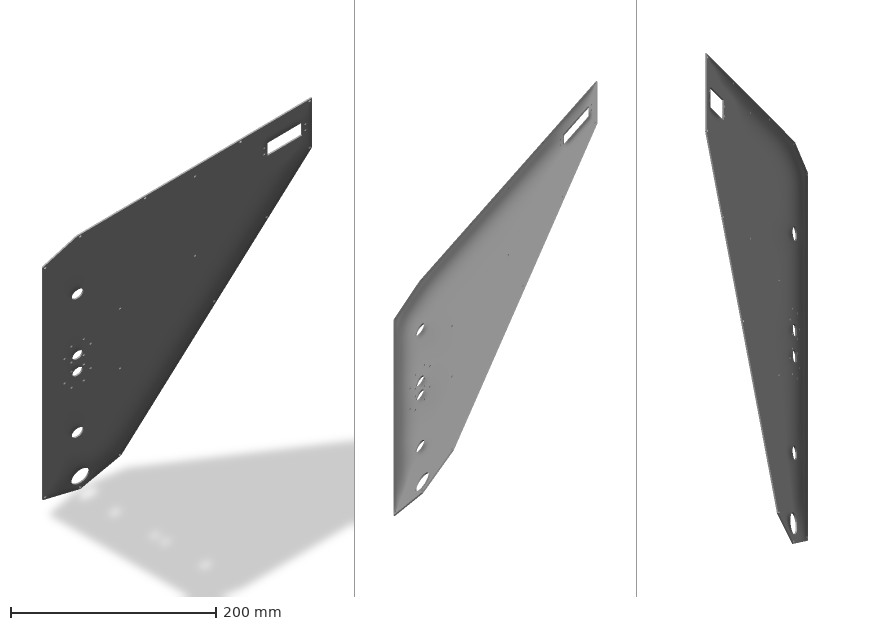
import cadquery as cq

thickness = 1.57
width = 325.5
height = 414.0

nose_y = 45.5
top_bevel_y = 42.0
long_edge_bottom_z = 18.0
long_edge_top_z = 395.5
short_edge_bottom_z = 334.0
slope_foot = (94.8, 15.7)

rim_hole_diameter = 3.05
rim_inset = 3.0
rim_hole_end_z = 20.5
top_rim_hole_ys = (239.0, 123.7, nose_y)
slope_rim_holes = [(270.5, 263.5), (207.5, 177.0), (93.5, 17.5)]

inner_hole_diameter = 2.8
upper_pair_y = 184.0
upper_pair_zs = (398.5, 269.5)
middle_pair_y = 93.5
middle_pair_offset = 48.62

mid_z = height / 2
shaft_y = 42.2
outer_shaft_diameter = 14.0
outer_shaft_offset = 112.5
inner_shaft_diameter = 12.5
inner_shaft_offset = 13.45

mount_hole_diameter = 2.8
mount_offsets = [(7.5, 7.5), (15.7, 20.0), (7.5, 33.5)]

nose_hole_diameter = 21.5
nose_hole_z = 20.5

window_center = (292.5, 373.0)
window_width = 41.5
window_height = 20.5
window_hole_diameter = 2.52
window_hole_offset = (25.0, 5.0)


def mirrored(center, offset):
    """Four points placed symmetrically about a center."""
    return [
        (center[0] + side * offset[0], center[1] + level * offset[1])
        for side in (-1, 1)
        for level in (-1, 1)
    ]


def drill(plate, points, diameter):
    """Cut through holes at the given (Y, Z) points."""
    cutters = cq.Workplane("YZ").pushPoints(points).circle(diameter / 2).extrude(thickness)
    return plate.cut(cutters)


outline = [
    (nose_y, 0),
    (0, long_edge_bottom_z),
    (0, long_edge_top_z),
    (top_bevel_y, height),
    (width, height),
    (width, short_edge_bottom_z),
    slope_foot,
]
plate = cq.Workplane("YZ").polyline(outline).close().extrude(thickness)

window = cq.Workplane("YZ").center(*window_center).rect(window_width, window_height).extrude(thickness)
plate = plate.cut(window)
plate = drill(plate, mirrored(window_center, window_hole_offset), window_hole_diameter)

rim_holes = [(y, height - rim_inset) for y in top_rim_hole_ys]
rim_holes += [
    (width - rim_inset, height - rim_inset),
    (width - rim_inset, short_edge_bottom_z + rim_inset / 2),
    (rim_inset, height - rim_hole_end_z),
    (rim_inset, rim_hole_end_z),
    (nose_y, rim_inset),
]
plate = drill(plate, rim_holes + slope_rim_holes, rim_hole_diameter)

inner_holes = [(upper_pair_y, z) for z in upper_pair_zs]
inner_holes += [(middle_pair_y, mid_z + side * middle_pair_offset) for side in (-1, 1)]
plate = drill(plate, inner_holes, inner_hole_diameter)

for offset, diameter in (
    (outer_shaft_offset, outer_shaft_diameter),
    (inner_shaft_offset, inner_shaft_diameter),
):
    plate = drill(plate, [(shaft_y, mid_z - offset), (shaft_y, mid_z + offset)], diameter)
for offset in mount_offsets:
    plate = drill(plate, mirrored((shaft_y, mid_z), offset), mount_hole_diameter)

plate = drill(plate, [(nose_y, nose_hole_z)], nose_hole_diameter)

result = plate